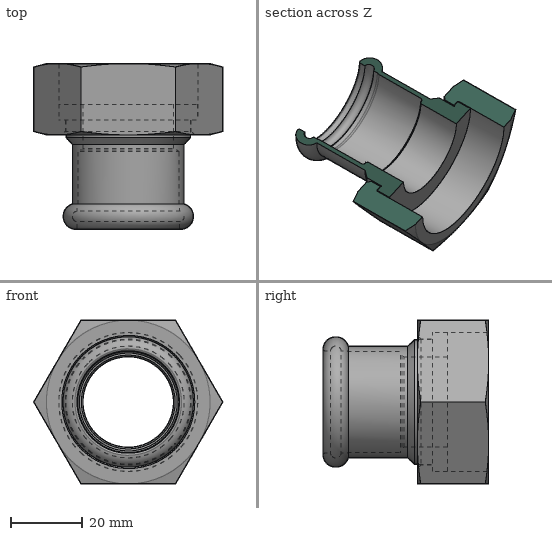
import cadquery as cq
import math


ACROSS_CORNERS = 53.1
ACROSS_FLATS = ACROSS_CORNERS * math.cos(math.radians(30))
NUT_START = 26.55
NUT_END = 46.6
NUT_CHAMFER_ANGLE = 15.0
NUT_LIP_THICKNESS = 4.25
NUT_LIP_DIAMETER = 35.4
NUT_LIP_CHAMFER = 1.0
NUT_BORE_DIAMETER = 39.1

TUBE_RADIUS = 31.4 / 2
SOCKET_RADIUS = 28.4 / 2
SHOULDER_RADIUS = 35.0 / 2
SHOULDER_CONE_START = 23.85
SHOULDER_CONE_END = 25.75
COLLAR_RADIUS = 39.0 / 2
COLLAR_START = NUT_START + NUT_LIP_THICKNESS
COLLAR_END = 35.05
PASSAGE_RADIUS = 25.4 / 2

BEAD_RADIUS = 3.65
BEAD_CENTER_RADIUS = 14.65
BEAD_CENTER_Y = BEAD_RADIUS
GROOVE_HALF_WIDTH = 1.5
GROOVE_DEPTH = 1.35
MOUTH_RADIUS = 28.8 / 2
MOUTH_ROUNDING = 0.6
MOUTH_EDGE_RADIUS = MOUTH_RADIUS + MOUTH_ROUNDING
MOUTH_LAND_END = 6.5
SOCKET_START = 7.15

STOP_Y = 22.3
STOP_OUTER_RADIUS = 13.75
STOP_INNER_RADIUS = 13.2
STOP_OUTER_BEVEL = SOCKET_RADIUS - STOP_OUTER_RADIUS
STOP_INNER_BEVEL = STOP_INNER_RADIUS - PASSAGE_RADIUS


def revolve_about_y(profile):
    """Revolve a closed (radius, y) profile a full turn about the Y axis."""
    return profile.close().revolve(360, (0, 0, 0), (0, 1, 0))


def cylinder_along_y(diameter, start, end):
    return cq.Workplane("XZ", origin=(0, start, 0)).circle(diameter / 2).extrude(start - end)


def circle_offset(circle_radius, distance):
    """Other leg of the right triangle whose hypotenuse is circle_radius."""
    return math.sqrt(circle_radius**2 - distance**2)


def make_nut():
    hexagon = (
        cq.Workplane("XZ", origin=(0, NUT_START, 0))
        .polygon(6, ACROSS_CORNERS)
        .extrude(NUT_START - NUT_END)
    )
    corner_radius = ACROSS_CORNERS / 2
    flat_radius = ACROSS_FLATS / 2
    corner_drop = (corner_radius - flat_radius) * math.tan(math.radians(NUT_CHAMFER_ANGLE))
    envelope = revolve_about_y(
        cq.Workplane("XY")
        .moveTo(0, NUT_START)
        .lineTo(flat_radius, NUT_START)
        .lineTo(corner_radius, NUT_START + corner_drop)
        .lineTo(corner_radius, NUT_END - corner_drop)
        .lineTo(flat_radius, NUT_END)
        .lineTo(0, NUT_END)
    )
    lip_hole = cylinder_along_y(NUT_LIP_DIAMETER, NUT_START, COLLAR_START)
    lip_chamfer = revolve_about_y(
        cq.Workplane("XY")
        .moveTo(0, NUT_START)
        .lineTo(NUT_LIP_DIAMETER / 2 + NUT_LIP_CHAMFER, NUT_START)
        .lineTo(NUT_LIP_DIAMETER / 2, NUT_START + NUT_LIP_CHAMFER)
        .lineTo(0, NUT_START + NUT_LIP_CHAMFER)
    )
    bore = cylinder_along_y(NUT_BORE_DIAMETER, COLLAR_START, NUT_END)
    return hexagon.intersect(envelope).cut(lip_hole).cut(lip_chamfer).cut(bore)


def make_tailpiece():
    bead_front_y = BEAD_CENTER_Y - circle_offset(BEAD_RADIUS, MOUTH_EDGE_RADIUS - BEAD_CENTER_RADIUS)
    bead_back_y = BEAD_CENTER_Y + circle_offset(BEAD_RADIUS, TUBE_RADIUS - BEAD_CENTER_RADIUS)
    groove_front_y = BEAD_CENTER_Y - GROOVE_HALF_WIDTH
    groove_back_y = BEAD_CENTER_Y + GROOVE_HALF_WIDTH
    rounding_inset = MOUTH_ROUNDING * (1 - math.sqrt(0.5))
    rounding_middle = (MOUTH_RADIUS + rounding_inset, bead_front_y + rounding_inset)
    bead_crest = (BEAD_CENTER_RADIUS + BEAD_RADIUS, BEAD_CENTER_Y)
    groove_crest = (MOUTH_RADIUS + GROOVE_DEPTH, BEAD_CENTER_Y)
    outside = (
        cq.Workplane("XY")
        .moveTo(MOUTH_EDGE_RADIUS, bead_front_y)
        .threePointArc(bead_crest, (TUBE_RADIUS, bead_back_y))
        .lineTo(TUBE_RADIUS, SHOULDER_CONE_START)
        .lineTo(SHOULDER_RADIUS, SHOULDER_CONE_END)
        .lineTo(SHOULDER_RADIUS, COLLAR_START)
        .lineTo(COLLAR_RADIUS, COLLAR_START)
        .lineTo(COLLAR_RADIUS, COLLAR_END)
    )
    profile = (
        outside
        .lineTo(PASSAGE_RADIUS, COLLAR_END)
        .lineTo(PASSAGE_RADIUS, STOP_Y + STOP_INNER_BEVEL)
        .lineTo(STOP_INNER_RADIUS, STOP_Y)
        .lineTo(STOP_OUTER_RADIUS, STOP_Y)
        .lineTo(SOCKET_RADIUS, STOP_Y - STOP_OUTER_BEVEL)
        .lineTo(SOCKET_RADIUS, SOCKET_START)
        .lineTo(MOUTH_RADIUS, MOUTH_LAND_END)
        .lineTo(MOUTH_RADIUS, groove_back_y)
        .threePointArc(groove_crest, (MOUTH_RADIUS, groove_front_y))
        .lineTo(MOUTH_RADIUS, bead_front_y + MOUTH_ROUNDING)
        .threePointArc(rounding_middle, (MOUTH_EDGE_RADIUS, bead_front_y))
    )
    return revolve_about_y(profile)


nut = make_nut()
tailpiece = make_tailpiece()

result = cq.Compound.makeCompound([nut.val(), tailpiece.val()])